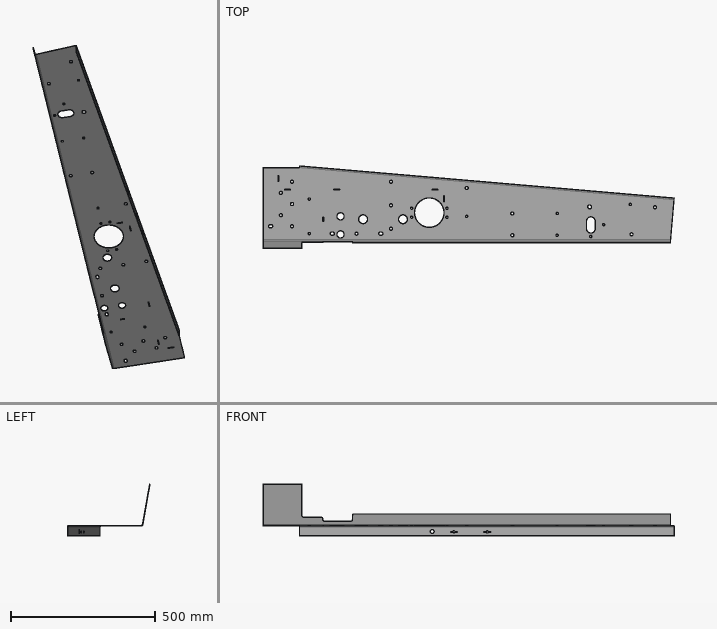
import cadquery as cq
import math

thickness = 2.0
inner_radius = 4.0
outer_radius = inner_radius + thickness

length = 1423.0
depth = 286.0
height = 179.0

taper_angle = 4.9
rear_start_x = 125.0
rear_drop = 37.0
rear_bend_angle = 90.0

front_bend_angle = 80.0
tab_end_x = 134.0
step_x = 206.0
notch_end_x = 309.0
step_z = 65.0
notch_z = 51.0
low_flange_z = 77.0
step_fillet = 6.4

plate_top = rear_drop
plate_bottom = plate_top - thickness

small_diameter = 7.0
medium_diameter = 10.0
large_diameter = 13.0
slit_width = 2.1
slit_length = 20.0
short_slit_length = 14.0
slot_length = 14.0


def front_flange_reach():
    """Straight length of the front flange beyond its bend."""
    angle = math.radians(front_bend_angle)
    rise = height - plate_top - inner_radius * (1 - math.cos(angle))
    return rise / math.sin(angle)


front_straight = front_flange_reach()
rear_straight = rear_drop - thickness - inner_radius

front_angle = math.radians(front_bend_angle)
front_bend_y = outer_radius * math.sin(front_angle) + front_straight * math.cos(front_angle)

taper = math.radians(taper_angle)
rear_length = (length - rear_start_x) / math.cos(taper)
rear_end_y = depth - rear_length * math.sin(taper)
rear_bend_start = (
    rear_start_x - outer_radius * math.sin(taper),
    depth - outer_radius * math.cos(taper),
)
rear_bend_end = (
    length - outer_radius * math.sin(taper),
    rear_end_y - outer_radius * math.cos(taper),
)
front_end_x = length - (rear_end_y - front_bend_y) * math.tan(taper)


def bent_flange(bend_angle, straight, run):
    """Bend and flange along +X; the bend starts at Y=0 and turns from +Y up to +Z.

    The sheet's inner face lies at Z=0 where the bend starts.
    """
    angle = math.radians(bend_angle)

    def on_arc(radius, turn):
        return (radius * math.sin(turn), inner_radius - radius * math.cos(turn))

    def beyond(point):
        return (point[0] + straight * math.cos(angle), point[1] + straight * math.sin(angle))

    outer_end = on_arc(outer_radius, angle)
    inner_end = on_arc(inner_radius, angle)
    return (
        cq.Workplane("YZ")
        .moveTo(0, -thickness)
        .threePointArc(on_arc(outer_radius, angle / 2), outer_end)
        .lineTo(*beyond(outer_end))
        .lineTo(*beyond(inner_end))
        .lineTo(*inner_end)
        .threePointArc(on_arc(inner_radius, angle / 2), (0, 0))
        .close()
        .extrude(run)
    )


def make_plate():
    outline = [
        (0, front_bend_y),
        (front_end_x, front_bend_y),
        rear_bend_end,
        rear_bend_start,
        (0, rear_bend_start[1]),
    ]
    return cq.Workplane("XY", origin=(0, 0, plate_bottom)).polyline(outline).close().extrude(thickness)


def make_front_flange():
    flange = (
        bent_flange(front_bend_angle, front_straight, front_end_x)
        .mirror("XZ")
        .translate((0, front_bend_y, plate_top))
    )
    elevation = (
        cq.Workplane("XZ")
        .moveTo(0, 0)
        .lineTo(front_end_x, 0)
        .lineTo(front_end_x, low_flange_z)
        .lineTo(notch_end_x, low_flange_z)
        .lineTo(notch_end_x, notch_z)
        .lineTo(step_x, notch_z)
        .lineTo(step_x, step_z)
        .lineTo(tab_end_x, step_z)
        .lineTo(tab_end_x, height)
        .lineTo(0, height)
        .close()
        .extrude(-depth)
    )
    step_corners = cq.selectors.BoxSelector(
        (tab_end_x - step_fillet, -depth, notch_z - step_fillet),
        (notch_end_x + step_fillet, 2 * depth, low_flange_z + step_fillet),
    )
    elevation = elevation.edges("|Y").edges(step_corners).fillet(step_fillet)
    return flange.intersect(elevation)


def make_rear_flange():
    return (
        bent_flange(rear_bend_angle, rear_straight, rear_length)
        .mirror("XY")
        .rotate((0, 0, 0), (0, 0, 1), -taper_angle)
        .translate((*rear_bend_start, plate_bottom))
    )


def plate_sketch(points):
    return cq.Workplane("XY").pushPoints(points)


def plate_holes(points, diameter):
    return plate_sketch(points).circle(diameter / 2).extrude(height)


def plate_slots(points, slot_span, width, direction=0):
    return plate_sketch(points).slot2D(slot_span, width, direction).extrude(height)


def corner_pattern(center, spacing_x, spacing_y):
    return [
        (center[0] + side * spacing_x / 2, center[1] + end * spacing_y / 2)
        for side in (-1, 1)
        for end in (-1, 1)
    ]


stagger_pitch = 38.0
stagger_first_y = 77.0
stagger_columns = (100.0, 61.0)
stagger_holes = [
    (stagger_columns[row % 2], stagger_first_y + row * stagger_pitch) for row in range(5)
]

column_x = 443.0
column_middle_y = 150.0
column_pitch = 81.0
column_holes = [(column_x, column_middle_y + row * column_pitch) for row in (-1, 0, 1)]

front_row_y = 51.0

opening_center = (575.0, 124.0)
opening_diameter = 101.0
screw_spacing_x = 122.0
screw_spacing_y = 31.0
opening_screws = corner_pattern(opening_center, screw_spacing_x, screw_spacing_y)

medium_holes = [
    (323.0, front_row_y),
    (705.0, 209.0),
    (862.0, 121.0),
    (862.0, 45.0),
    (1275.0, 48.0),
    (1356.0, 142.0),
]
small_holes = [
    (160.0, 171.0),
    (160.0, front_row_y),
    (705.0, 111.0),
    (1017.0, 121.0),
    (1017.0, 45.0),
    (1134.0, 41.0),
    (1178.0, 83.0),
    (1270.0, 152.0),
]
large_holes = [(1130.0, 144.0)]

cable_holes = [(268.0, 111.0), (268.0, 48.0)]
cable_diameter = 24.0
wide_cable_holes = [(346.0, 101.0), (484.0, 101.0)]
wide_cable_diameter = 30.0

slots = [(25.0, stagger_first_y), (239.0, front_row_y), (407.0, front_row_y)]
cross_slits = [(84.0, 203.0), (255.0, 203.0), (595.0, 203.0)]
upright_slits = [(53.0, 242.0), (626.0, 172.0)]
short_slits = [(208.0, 101.0)]
oblong_center = (1134.0, 81.0)
oblong_length = 55.0
oblong_width = 30.0

plate_cutters = [
    plate_holes(stagger_holes + column_holes + medium_holes, medium_diameter),
    plate_holes(small_holes + opening_screws, small_diameter),
    plate_holes(large_holes, large_diameter),
    plate_holes(cable_holes, cable_diameter),
    plate_holes(wide_cable_holes, wide_cable_diameter),
    plate_holes([opening_center], opening_diameter),
    plate_slots([oblong_center], oblong_length, oblong_width, 90),
    plate_slots(slots, slot_length, medium_diameter),
    plate_slots(cross_slits, slit_length, slit_width),
    plate_slots(upright_slits, slit_length, slit_width, 90),
    plate_slots(short_slits, short_slit_length, slit_width, 90),
]

rear_hole = (585.0, 15.0)
rear_slit_z = 14.0
rear_slit_holes = [(660.0, rear_slit_z), (775.0, rear_slit_z)]
rear_slit_hole_diameter = 7.0
rear_slit_length = 23.0


def rear_cutters():
    def sketch(points):
        return cq.Workplane("XZ", origin=(0, front_bend_y, 0)).pushPoints(points)

    return [
        sketch([rear_hole]).circle(large_diameter / 2).extrude(-depth),
        sketch(rear_slit_holes).circle(rear_slit_hole_diameter / 2).extrude(-depth),
        sketch(rear_slit_holes).slot2D(rear_slit_length, slit_width).extrude(-depth),
    ]


plate = make_plate()
for cutter in plate_cutters:
    plate = plate.cut(cutter)

rear_flange = make_rear_flange()
for cutter in rear_cutters():
    rear_flange = rear_flange.cut(cutter)

result = plate.union(make_front_flange()).union(rear_flange)